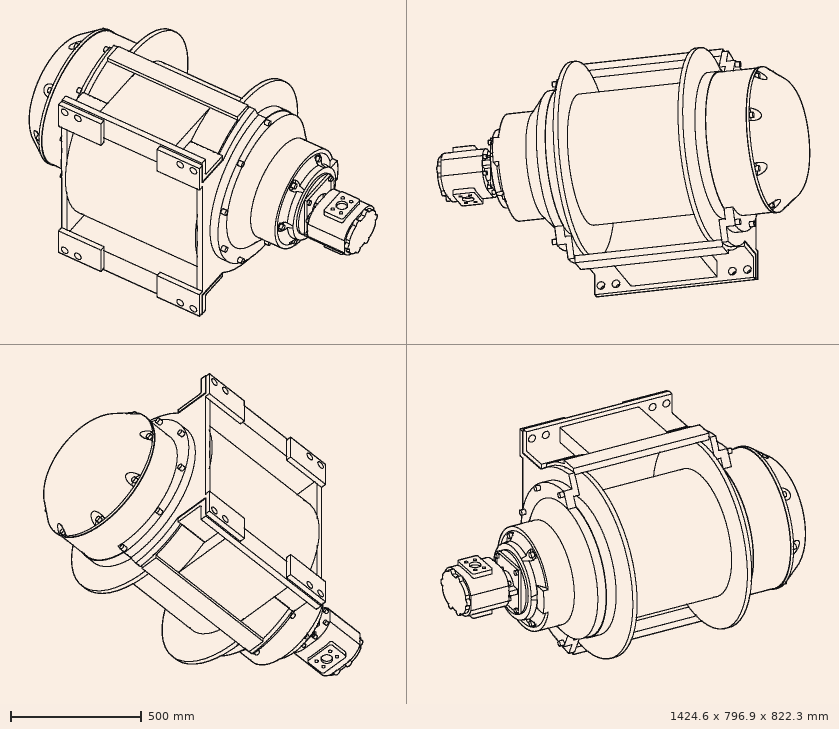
import cadquery as cq
import math


overall_length = 1424.56
overall_depth = 796.92
overall_height = 822.33
dome_face_x = -605.0
pump_end_x = dome_face_x + overall_length

barrel_radius = 508 / 2
flange_radius = 762 / 2
flange_inner_x = 241.0
flange_rim_x = 260.0
flange_root_x = 279.5

frame_half_length = 321.8
side_plate_thickness = 25.4
side_plate_radius = 393.7
side_plate_bore_radius = 315.0
cover_thickness = 12.7
cover_radius = side_plate_radius + cover_thickness
frame_front_y = -side_plate_radius
frame_half_opening = 307.0
end_cut_inner = (51.0, 250.0)
end_cut_outer = (-51.0, 450.0)
clearance = 500.0

angle_half_height = overall_height / 2
angle_half_length = 319.0
angle_wall = 25.4
angle_shelf_thickness = 21.0
angle_fillet = 7.0
angle_inner_y = -math.sqrt(side_plate_radius**2 - frame_half_opening**2)
pad_face_y = flange_radius - overall_depth
pad_length = 194.0
pad_bottom_z = 285.0
pad_top_z = 402.0
mount_hole_diameter = 30.16
mount_hole_z = 375.5
mount_hole_x = (233.5, 294.0)
bar_rear_y = -30.0
bar_front_y = -106.5
bar_top_z = 408.0
bar_bottom_z = 379.0
box_half_length = 172.5
box_top_z = 392.5
box_bottom_z = 318.0

ring_radius = 341.0
ring_outer_x = 358.0
ring_bolt_circle_radius = 325.0
bolt_head_diameter = 20.83
ring_bolt_height = 18.0
ring_bolt_angles = (18, 54, 90)

housing_radius = 558.8 / 2
rim_radius = 565.15 / 2
dome_face_radius = 154.0
dome_shoulder_x = -571.0
dome_shoulder_radius = 230.0
rim_start_x = -497.0
rim_end_x = -485.0
dome_pocket_count = 8
dome_pocket_diameter = 50.8
dome_pocket_circle_radius = 279.0
dome_bolt_circle_radius = 270.0
dome_bolt_height = 13.0

reducer_radius = 415.93 / 2
cone_end_x = 422.0
reducer_end_x = 533.0
nose_start_radius = 191.0
nose_radius = 155.0
nose_end_radius = 152.0
nose_cone_end_x = 556.0
nose_end_x = 580.0
nose_disc_radius = 127.5
nose_disc_end_x = 589.0
nose_pocket_count = 6
nose_pocket_diameter = 44.45
nose_pocket_circle_radius = 173.5
nose_pocket_floor_x = 536.0
nose_bolt_height = 14.0
lug_end_x = 555.0
lug_half_width = 50.0
lug_root_y = 120.0

adapter_plate_end_x = 601.0
adapter_plate_width = 172.0
adapter_plate_height = 194.0
adapter_bolt_y = 77.0
adapter_bolt_z = 83.0
adapter_bolt_diameter = 19.0
adapter_bolt_height = 9.0
neck_radius = 49.0
rib_half_width = 80.0
rib_thickness = 21.0

pump_start_x = 636.0
pump_center_y = -30.0
gear_spacing = 62.0
pump_half_height = 84.0
pump_half_width = 105.0
pump_side_flat_half_height = 33.0
pump_body_end_x = 803.0
end_cover_inset = 12.0
end_cover_lobe_diameter = 30.0
pump_bolt_circle_radius = 68.0
pump_bolt_diameter = 16.0
pump_bolt_angles = (30, 90)
pump_bolt_height = 13.0
port_x = 726.0
port_center_y = -32.0
port_length = 88.0
port_width = 128.0
port_corner_radius = 9.0
port_face_z = 97.0
port_bore_diameter = 44.45
port_bore_depth = 12.0
port_bolt_hole_diameter = 12.7
port_bolt_hole_depth = 22.0
port_bolt_pitch_x = 38.2
port_bolt_pitch_y = 72.2


def box(x0, x1, y0, y1, z0, z1):
    """Block between two opposite corners."""
    return cq.Workplane("XY").box(x1 - x0, y1 - y0, z1 - z0, centered=False).translate((x0, y0, z0))


def rod(x0, x1, y, z, diameter):
    """Cylinder parallel to X."""
    return cq.Workplane("YZ", origin=(x0, y, z)).circle(diameter / 2).extrude(x1 - x0)


def mirrored_in_z(shape):
    return shape.union(shape.mirror("XY"))


def polar(radius, degrees):
    """Y and Z of a point at an angle from -Y."""
    angle = math.radians(degrees)
    return -radius * math.cos(angle), radius * math.sin(angle)


def turned_body():
    """Dome, housing, drum, reducer and nose, turned as one profile."""
    profile = (
        cq.Workplane("XY")
        .moveTo(dome_face_x, 0)
        .lineTo(dome_face_x, dome_face_radius)
        .tangentArcPoint((dome_shoulder_x, dome_shoulder_radius), relative=False)
        .lineTo(rim_start_x, rim_radius)
        .lineTo(rim_end_x, rim_radius)
        .lineTo(rim_end_x, housing_radius)
        .lineTo(-frame_half_length, housing_radius)
        .lineTo(-frame_half_length, rim_radius)
        .lineTo(-flange_root_x, rim_radius)
        .lineTo(-flange_rim_x, flange_radius)
        .lineTo(-flange_inner_x, flange_radius)
        .lineTo(-flange_inner_x, barrel_radius)
        .lineTo(flange_inner_x, barrel_radius)
        .lineTo(flange_inner_x, flange_radius)
        .lineTo(flange_rim_x, flange_radius)
        .lineTo(flange_root_x, rim_radius)
        .lineTo(frame_half_length, rim_radius)
        .lineTo(frame_half_length, housing_radius)
        .lineTo(ring_outer_x, housing_radius)
        .lineTo(cone_end_x, reducer_radius)
        .lineTo(reducer_end_x, reducer_radius)
        .lineTo(reducer_end_x, nose_start_radius)
        .lineTo(nose_cone_end_x, nose_radius)
        .lineTo(nose_end_x, nose_end_radius)
        .lineTo(nose_end_x, nose_disc_radius)
        .lineTo(nose_disc_end_x, nose_disc_radius)
        .lineTo(nose_disc_end_x, 0)
        .close()
    )
    return profile.revolve(360, (0, 0, 0), (1, 0, 0))


def add_dome_pockets(body):
    """Round pockets in the dome, each with a bolt head on its floor."""
    for i in range(dome_pocket_count):
        degrees = i * 360 / dome_pocket_count
        y, z = polar(dome_pocket_circle_radius, degrees)
        body = body.cut(rod(dome_face_x, rim_start_x, y, z, dome_pocket_diameter))
        y, z = polar(dome_bolt_circle_radius, degrees)
        body = body.union(rod(rim_start_x - dome_bolt_height, rim_end_x, y, z, bolt_head_diameter))
    return body


def add_nose_pockets(body):
    """Round pockets in the nose with bolt heads, and the solid lug on the +Y side."""
    for i in range(nose_pocket_count):
        y, z = polar(nose_pocket_circle_radius, i * 360 / nose_pocket_count)
        body = body.cut(rod(nose_pocket_floor_x, nose_end_x, y, z, nose_pocket_diameter))
        body = body.union(rod(cone_end_x, nose_pocket_floor_x + nose_bolt_height, y, z, bolt_head_diameter))
    lug = rod(reducer_end_x, lug_end_x, 0, 0, 2 * reducer_radius).intersect(
        box(reducer_end_x, lug_end_x, lug_root_y, clearance, -lug_half_width, lug_half_width)
    )
    return body.union(lug)


def rear_of_frame():
    """Space behind the slanted upper and lower ends of the side plates and rings."""
    (inner_y, inner_z), (outer_y, outer_z) = end_cut_inner, end_cut_outer
    return (
        cq.Workplane("YZ", origin=(-clearance, 0, 0))
        .polyline(
            [
                (inner_y, inner_z),
                (outer_y, outer_z),
                (clearance, outer_z),
                (clearance, -outer_z),
                (outer_y, -outer_z),
                (inner_y, -inner_z),
            ]
        )
        .close()
        .extrude(2 * clearance)
    )


def side_support():
    """Bored side plate, bearing ring and ring bolts on the +X side."""
    plate_x = frame_half_length - side_plate_thickness
    plate = rod(plate_x, frame_half_length, 0, 0, 2 * side_plate_radius)
    plate = plate.union(
        box(plate_x, frame_half_length, frame_front_y, 0, -frame_half_opening, frame_half_opening)
    )
    ring = rod(frame_half_length, ring_outer_x, 0, 0, 2 * ring_radius)
    plate = plate.cut(rod(plate_x, frame_half_length, 0, 0, 2 * side_plate_bore_radius))
    support = plate.union(ring).cut(rear_of_frame())
    for degrees in ring_bolt_angles:
        y, z = polar(ring_bolt_circle_radius, degrees)
        bolt = rod(frame_half_length, ring_outer_x + ring_bolt_height, y, z, bolt_head_diameter)
        support = support.union(mirrored_in_z(bolt))
    return support


def drum_cover():
    """Curved sheet around the front of the drum, from one cross bar to the other."""
    inner_x = frame_half_length - side_plate_thickness
    sheet = rod(-inner_x, inner_x, 0, 0, 2 * cover_radius)
    sheet = sheet.cut(rod(-inner_x, inner_x, 0, 0, 2 * side_plate_radius))
    return sheet.cut(box(-inner_x, inner_x, bar_front_y, clearance, -clearance, clearance))


def mounting_angle():
    """Upper angle along the frame with its pads, stiffening box and cross bar."""
    wall_y = frame_front_y + angle_wall
    shelf_top_z = frame_half_opening + angle_shelf_thickness
    angle = (
        cq.Workplane("YZ", origin=(-angle_half_length, 0, 0))
        .moveTo(frame_front_y, frame_half_opening)
        .lineTo(angle_inner_y, frame_half_opening)
        .lineTo(angle_inner_y, shelf_top_z)
        .lineTo(wall_y + angle_fillet, shelf_top_z)
        .radiusArc((wall_y, shelf_top_z + angle_fillet), angle_fillet)
        .lineTo(wall_y, angle_half_height)
        .lineTo(frame_front_y, angle_half_height)
        .close()
        .extrude(2 * angle_half_length)
    )
    stiffener = box(-box_half_length, box_half_length, wall_y, bar_front_y, box_bottom_z, box_top_z)
    drum_space = rod(-box_half_length, box_half_length, 0, 0, 2 * side_plate_radius)
    angle = angle.union(stiffener.cut(drum_space))

    bar_x = frame_half_length - side_plate_thickness
    angle = angle.union(box(-bar_x, bar_x, bar_front_y, bar_rear_y, bar_bottom_z, bar_top_z))

    pad = box(
        frame_half_length - pad_length, frame_half_length, pad_face_y, frame_front_y, pad_bottom_z, pad_top_z
    )
    angle = angle.union(pad).union(pad.mirror("YZ"))
    hole_points = [(side * x, mount_hole_z) for x in mount_hole_x for side in (-1, 1)]
    holes = (
        cq.Workplane("XZ", origin=(0, wall_y, 0))
        .pushPoints(hole_points)
        .circle(mount_hole_diameter / 2)
        .extrude(wall_y - pad_face_y)
    )
    return angle.cut(holes)


def adapter():
    """Rectangular plate, neck and side ribs that carry the pump."""
    half_width = adapter_plate_width / 2
    half_height = adapter_plate_height / 2
    plate = box(nose_disc_end_x, adapter_plate_end_x, -half_width, half_width, -half_height, half_height)
    neck = rod(nose_disc_end_x, pump_start_x, 0, 0, 2 * neck_radius)
    rib = box(
        nose_disc_end_x, pump_start_x, -rib_half_width, rib_half_width, -rib_thickness / 2, rib_thickness / 2
    )
    body = plate.union(neck).union(rib)
    bolt_end_x = adapter_plate_end_x + adapter_bolt_height
    for y in (-adapter_bolt_y, adapter_bolt_y):
        for z in (-adapter_bolt_z, adapter_bolt_z):
            body = body.union(rod(nose_disc_end_x, bolt_end_x, y, z, adapter_bolt_diameter))
    return body


def pump_outline(x0):
    """Two-gear housing outline: flat top, bottom and sides joined by arcs tangent to the top and bottom."""
    half_spacing = gear_spacing / 2
    return (
        cq.Workplane("YZ", origin=(x0, pump_center_y, 0))
        .moveTo(-half_spacing, pump_half_height)
        .lineTo(half_spacing, pump_half_height)
        .tangentArcPoint((pump_half_width, pump_side_flat_half_height), relative=False)
        .lineTo(pump_half_width, -pump_side_flat_half_height)
        .threePointArc(pump_corner_middle(1, -1), (half_spacing, -pump_half_height))
        .lineTo(-half_spacing, -pump_half_height)
        .tangentArcPoint((-pump_half_width, -pump_side_flat_half_height), relative=False)
        .lineTo(-pump_half_width, pump_side_flat_half_height)
        .threePointArc(pump_corner_middle(-1, 1), (-half_spacing, pump_half_height))
        .close()
    )


def pump_corner_middle(y_side, z_side):
    """Middle of a corner arc that is tangent to the top or bottom flat."""
    width = pump_half_width - gear_spacing / 2
    height = pump_half_height - pump_side_flat_half_height
    radius = (width**2 + height**2) / (2 * height)
    half_sweep = math.asin(width / radius) / 2
    y = gear_spacing / 2 + radius * math.sin(half_sweep)
    z = pump_half_height - radius * (1 - math.cos(half_sweep))
    return y_side * y, z_side * z


def pump():
    """Gear pump with a lobed end cover, front bolts and two port pads."""
    body = pump_outline(pump_start_x).extrude(pump_body_end_x - pump_start_x)
    cover_length = pump_end_x - pump_body_end_x
    body = body.union(pump_outline(pump_body_end_x).offset2D(-end_cover_inset).extrude(cover_length))

    lobe_radius = end_cover_lobe_diameter / 2
    lobe_y = pump_half_width - lobe_radius
    lobe_z = pump_half_height - lobe_radius
    for side in (-1, 1):
        for y, z in ((lobe_y, 0), (gear_spacing / 2, lobe_z)):
            lobe = rod(pump_body_end_x, pump_end_x, pump_center_y + side * y, z, end_cover_lobe_diameter)
            body = body.union(mirrored_in_z(lobe))

    for degrees in pump_bolt_angles:
        offset, z = polar(pump_bolt_circle_radius, degrees)
        for side in (-1, 1):
            y = pump_center_y + side * (gear_spacing / 2 - offset)
            bolt = rod(pump_start_x - pump_bolt_height, port_x, y, z, pump_bolt_diameter)
            body = body.union(mirrored_in_z(bolt))

    port = (
        cq.Workplane("XY", origin=(port_x, port_center_y, 0))
        .rect(port_length, port_width)
        .extrude(port_face_z)
        .edges("|Z")
        .fillet(port_corner_radius)
    )
    face = cq.Workplane("XY", origin=(port_x, port_center_y, port_face_z))
    bore = face.circle(port_bore_diameter / 2).extrude(-port_bore_depth)
    bolt_holes = (
        face.rect(port_bolt_pitch_x, port_bolt_pitch_y, forConstruction=True)
        .vertices()
        .circle(port_bolt_hole_diameter / 2)
        .extrude(-port_bolt_hole_depth)
    )
    body = body.union(mirrored_in_z(port))
    return body.cut(mirrored_in_z(bore.union(bolt_holes)))


result = add_nose_pockets(add_dome_pockets(turned_body()))
support = side_support()
result = result.union(support).union(support.mirror("YZ"))
result = result.union(drum_cover()).union(mirrored_in_z(mounting_angle()))
result = result.union(adapter()).union(pump())